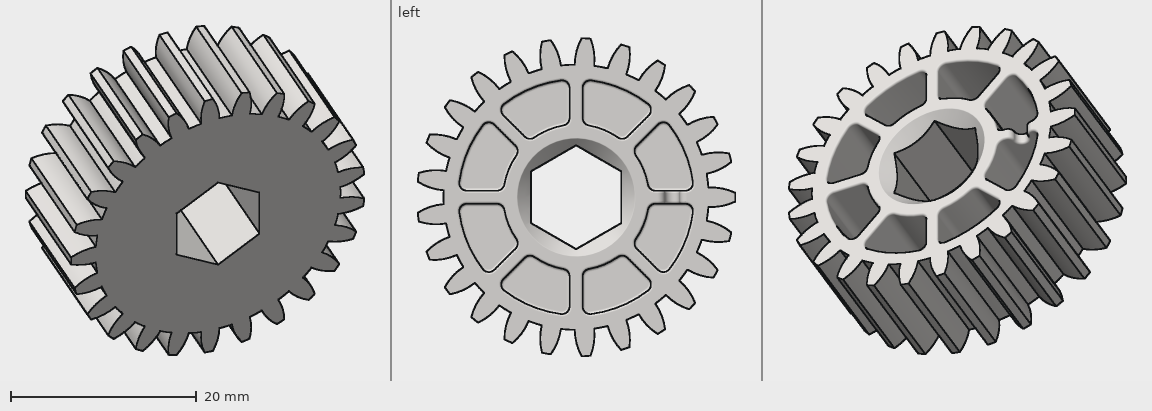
import cadquery as cq
import math

FACE_WIDTH = 12.7
OVERALL_HEIGHT = 34.27
TEETH = 25
DEDENDUM_FACTOR = 1.25
TIP_THICKNESS = 0.95
PITCH_THICKNESS = 1.85
ROOT_THICKNESS = 2.12

HEX_ACROSS_FLATS = 9.65
COUNTERSINK_RADIUS = 6.35
COUNTERSINK_ANGLE = math.radians(45)
RIM_FILLET = 0.15

POCKETS = 8
SPOKE_WIDTH = 1.4
POCKET_INNER_RADIUS = 7.85
POCKET_OUTER_RADIUS = 12.68
POCKET_CORNER = 0.82
POCKET_DEPTH = 10.28
POCKET_FLOOR_FILLET = 0.3
POCKET_RIM_FILLET = 0.27

GROOVE_POSITION = 10.35
GROOVE_RADIUS = 0.8

PITCH_ANGLE = 2 * math.pi / TEETH

top_tooth_tilt = PITCH_ANGLE / 4
tip_corner_distance = (
    (OVERALL_HEIGHT - TIP_THICKNESS * math.sin(top_tooth_tilt)) / 2 / math.cos(top_tooth_tilt)
)
tip_radius = math.hypot(tip_corner_distance, TIP_THICKNESS / 2)
module = 2 * tip_radius / (TEETH + 2)
pitch_radius = module * TEETH / 2
root_radius = pitch_radius - DEDENDUM_FACTOR * module

tip_half_angle = math.asin(TIP_THICKNESS / 2 / tip_radius)
pitch_half_angle = math.asin(PITCH_THICKNESS / 2 / pitch_radius)
root_half_angle = math.asin(ROOT_THICKNESS / 2 / root_radius)


def polar(radius, angle):
    return (radius * math.cos(angle), radius * math.sin(angle))


def face_plane():
    return cq.Workplane("YZ")


def gear_blank():
    """Toothed disc; each tooth flank is one arc from root to tip."""
    first_tooth = math.pi
    outline = face_plane().moveTo(*polar(root_radius, first_tooth - root_half_angle))
    for i in range(TEETH):
        tooth = first_tooth + i * PITCH_ANGLE
        next_tooth = tooth + PITCH_ANGLE
        outline = (
            outline
            .threePointArc(
                polar(pitch_radius, tooth - pitch_half_angle), polar(tip_radius, tooth - tip_half_angle)
            )
            .threePointArc(polar(tip_radius, tooth), polar(tip_radius, tooth + tip_half_angle))
            .threePointArc(
                polar(pitch_radius, tooth + pitch_half_angle), polar(root_radius, tooth + root_half_angle)
            )
            .threePointArc(
                polar(root_radius, tooth + PITCH_ANGLE / 2), polar(root_radius, next_tooth - root_half_angle)
            )
        )
    return outline.close().extrude(FACE_WIDTH)


def pocket(centre_angle):
    """Blind pocket between two spokes, with rounded corners and a rounded floor edge."""
    inner = POCKET_INNER_RADIUS + POCKET_CORNER
    outer = POCKET_OUTER_RADIUS - POCKET_CORNER
    wall_offset = SPOKE_WIDTH / 2 + POCKET_CORNER
    half_span = math.pi / POCKETS
    inner_half = half_span - math.asin(wall_offset / inner)
    outer_half = half_span - math.asin(wall_offset / outer)
    return (
        face_plane()
        .moveTo(*polar(inner, centre_angle - inner_half))
        .lineTo(*polar(outer, centre_angle - outer_half))
        .threePointArc(polar(outer, centre_angle), polar(outer, centre_angle + outer_half))
        .lineTo(*polar(inner, centre_angle + inner_half))
        .threePointArc(polar(inner, centre_angle), polar(inner, centre_angle - inner_half))
        .close()
        .offset2D(POCKET_CORNER)
        .extrude(POCKET_DEPTH)
        .faces(">X")
        .edges()
        .fillet(POCKET_FLOOR_FILLET)
    )


def spoke_groove():
    """Round-bottomed groove with rounded lips, across the spoke on the -Y side."""
    r = GROOVE_RADIUS
    d = r * math.sqrt(0.5)
    return (
        cq.Workplane("XY")
        .moveTo(0, -2 * r)
        .threePointArc((r - d, -2 * r + d), (r, -r))
        .threePointArc((r + d, -d), (2 * r, 0))
        .threePointArc((r + d, d), (r, r))
        .threePointArc((r - d, 2 * r - d), (0, 2 * r))
        .close()
        .extrude(SPOKE_WIDTH, both=True)
        .translate((0, -GROOVE_POSITION, 0))
    )


def hex_bore():
    across_corners = HEX_ACROSS_FLATS / math.cos(math.pi / 6)
    prism = face_plane().polygon(6, across_corners).extrude(FACE_WIDTH)
    return prism.rotate((0, 0, 0), (1, 0, 0), 30)


def countersink():
    depth = COUNTERSINK_RADIUS / math.tan(COUNTERSINK_ANGLE)
    return cq.Workplane("XY").polyline([(0, 0), (0, COUNTERSINK_RADIUS), (depth, 0)]).close().revolve(
        360, (0, 0), (1, 0)
    )


def round_openings(body, radius):
    """Round the edges of every opening in the -X face."""
    rims = body.faces("<X").val().innerWires()
    edges = [edge for rim in rims for edge in rim.Edges()]
    return body.newObject(edges).fillet(radius)


gear = gear_blank()
for i in range(POCKETS):
    gear = gear.cut(pocket((i + 0.5) * 2 * math.pi / POCKETS))
gear = gear.cut(spoke_groove())
gear = round_openings(gear, POCKET_RIM_FILLET)

gear = gear.cut(hex_bore()).cut(countersink())
gear = gear.edges(cq.selectors.NearestToPointSelector((0, 0, 0))).fillet(RIM_FILLET)

result = gear